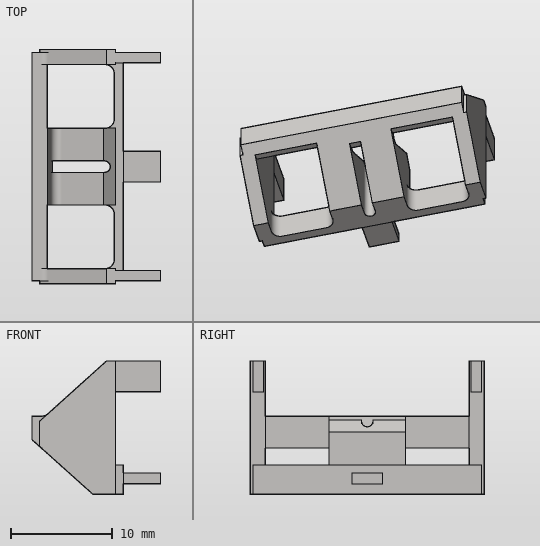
import cadquery as cq
import math

length = 23.05
height = 13.1
depth = 12.65

bar_length = 22.45
bar_width = 1.52
bar_bottom = 5.37
bar_top = 7.7
slope_foot = 6.0

plate_thickness = 1.5
plate_front = 0.75
plate_back = 8.23
plate_shoulder = 7.2
plate_crest = 7.33
bar_blend_radius = 0.9

rail_back = 8.99
rail_front = 8.09
rail_height = 2.9
arm_thickness = 1.04
arm_height = 3.05
peg_width = 3.05
peg_bottom = 1.04
peg_height = 1.05

window_top = 4.55
window_radius = 0.9

block_width = 7.55
block_crest_x = 7.05
block_crest_z = 7.28
block_back_z = block_crest_z - (plate_back - block_crest_x)
block_slope = 35.0
block_blend_radius = 0.65

slot_width = 1.1
slot_end = 7.7
slot_front = 2.03
slot_top = 4.1

underside_gradient = bar_bottom / slope_foot


def underside_x(z):
    """X of the sloping underside at height z."""
    return (bar_bottom - z) / underside_gradient


def extrude_y(points, width, center=0.0):
    """Extrude an XZ outline symmetrically about Y = center."""
    sketch = cq.Workplane("XZ", origin=(0, center, 0)).polyline(points).close()
    return sketch.extrude(width / 2, both=True)


def box_between(x, y, z):
    """Axis-aligned box from three (low, high) ranges."""
    size = (x[1] - x[0], y[1] - y[0], z[1] - z[0])
    return cq.Workplane("XY").box(*size, centered=False).translate((x[0], y[0], z[0]))


def make_bar():
    points = [
        (0, bar_bottom),
        (0, bar_top),
        (bar_width, bar_top),
        (bar_width, window_top),
        (underside_x(window_top), window_top),
    ]
    return extrude_y(points, bar_length)


def make_plate(side):
    points = [
        (plate_front, bar_bottom - underside_gradient * plate_front),
        (plate_front, plate_shoulder),
        (plate_crest, height),
        (plate_back, height),
        (plate_back, 0),
        (slope_foot, 0),
    ]
    return extrude_y(points, plate_thickness, side * (length - plate_thickness) / 2)


def make_bar_blend(side):
    """Concave blend between the bar top and the upper slope of a plate."""
    gradient = (height - plate_shoulder) / (plate_crest - plate_front)
    angle = math.atan(gradient)
    corner_x = plate_front + (bar_top - plate_shoulder) / gradient
    tangent = bar_blend_radius * math.tan(angle / 2)
    start = (corner_x - tangent, bar_top)
    middle = (
        start[0] + bar_blend_radius * math.sin(angle / 2),
        bar_top + bar_blend_radius * (1 - math.cos(angle / 2)),
    )
    end = (corner_x + tangent * math.cos(angle), bar_top + tangent * math.sin(angle))
    inner = length / 2 - plate_thickness
    blend_width = bar_length / 2 - inner
    sketch = (
        cq.Workplane("XZ", origin=(0, side * (inner + blend_width / 2), 0))
        .moveTo(*start)
        .threePointArc(middle, end)
        .lineTo(corner_x, bar_top)
        .close()
    )
    return sketch.extrude(blend_width / 2, both=True)


def make_arm(side):
    outer = bar_length / 2
    y_range = sorted((side * outer, side * (outer - arm_thickness)))
    return box_between((plate_back, depth), y_range, (height - arm_height, height))


def make_peg():
    half = peg_width / 2
    return box_between((rail_front, depth), (-half, half), (peg_bottom, peg_bottom + peg_height))


def make_rail():
    half = bar_length / 2
    return box_between((rail_front, rail_back), (-half, half), (0, rail_height))


def make_window_corners(side):
    """Rounded inside corners where the rail meets a plate and the block."""
    inner = block_width / 2
    outer = length / 2 - plate_thickness
    y_range = sorted((side * inner, side * outer))
    front = rail_front - window_radius
    strip = box_between((front, rail_front), y_range, (0, rail_height))
    opening = box_between((front - 2 * window_radius, rail_front), y_range, (0, rail_height))
    return strip.cut(opening.edges("|Z and >X").fillet(window_radius))


def make_block():
    """Wedge block with a V-shaped trough behind the bar, blended at its root."""
    gradient = math.tan(math.radians(block_slope))
    draft = (bar_top - slot_top) / (slot_front - bar_width)
    slope_at_bar = block_crest_z - gradient * (block_crest_x - bar_width)
    root_x = bar_width + (bar_top - slope_at_bar) / (draft + gradient)
    root_z = bar_top - draft * (root_x - bar_width)
    points = [
        (0, bar_bottom),
        (0, bar_top),
        (bar_width, bar_top),
        (root_x, root_z),
        (block_crest_x, block_crest_z),
        (plate_back, block_back_z),
        (plate_back, 0),
        (slope_foot, 0),
    ]
    block = extrude_y(points, block_width)
    root_edge = cq.selectors.NearestToPointSelector((root_x, 0, root_z))
    return block.edges("|Y").edges(root_edge).fillet(block_blend_radius)


def make_slot():
    """Round-ended slot whose front follows the back face of the bar."""
    radius = slot_width / 2
    straight = box_between((0, slot_end - radius), (-radius, radius), (0, bar_top))
    round_end = cq.Workplane("XY").center(slot_end - radius, 0).circle(radius).extrude(bar_top)
    plan = straight.union(round_end)
    profile = extrude_y(
        [
            (0, 0),
            (0, slot_top),
            (slot_front, slot_top),
            (bar_width, bar_top),
            (slot_end, bar_top),
            (slot_end, 0),
        ],
        slot_width,
    )
    return plan.intersect(profile)


result = make_bar().union(make_rail()).union(make_block()).union(make_peg())
for side in (-1, 1):
    result = result.union(make_plate(side))
    result = result.union(make_bar_blend(side))
    result = result.union(make_arm(side))
    result = result.union(make_window_corners(side))
result = result.cut(make_slot())